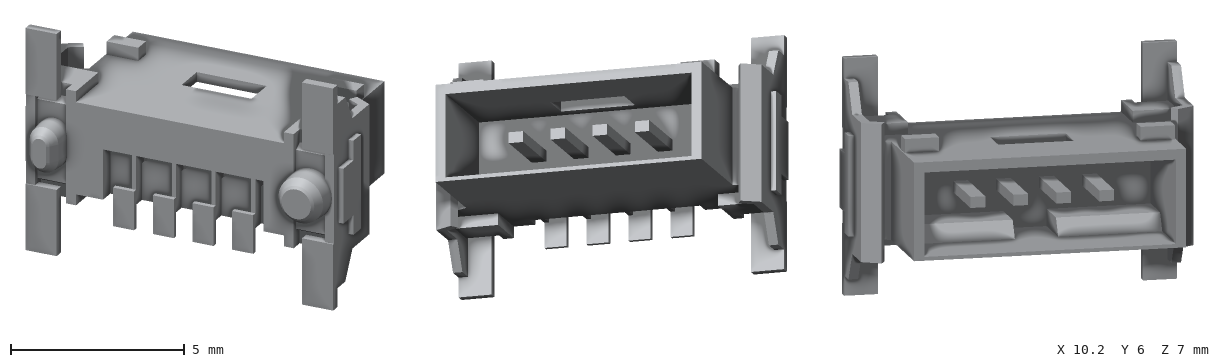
import cadquery as cq
import math


body_depth = 5.2
body_height = 2.91
mouth_width = 8.05
shoulder_width = 9.27
shoulder_start = 1.98
shoulder_end = 2.31

roof_thickness = 0.3
side_wall = 0.3
floor_thickness = 0.11
cavity_back = 2.03
window_width = 2.24
window_front = 2.42
window_back = 3.42
ledge_inner_x = 0.64
ledge_back = 3.21
ledge_height = 0.51
ledge_slope = 61

tab_size = (1.02, 0.51, 0.42)
tab_outer_x = 3.99
tab_front = 3.4

flange_inner_x = 3.32
flange_depth = 1.47
flange_height = 3.6
notch_inner_x = 3.64
notch_depth = 0.4
pad_front = 0.15
pad_height = 2.49
pad_root_height = 2.76

peg_x = 4.1
peg_length = 0.8
peg_height = 1.5
slot_peg_width = 1.0
peg_draft_start = 0.05
peg_taper_start = 0.5
peg_tip_start = 0.74
peg_draft = 0.04
peg_taper = 0.16
peg_tip_chamfer = 0.08

clip_thickness = 0.28
clip_height = 4.1
clip_total_height = 7.0
clip_step_height = 5.81
clip_step_end = 0.76
clip_slope_end = 1.24
clip_bend = 2.35
lead_face = -0.04
clip_foot_width = 1.0
clip_foot_gap = 2.82
lip_length = 0.62
lip_angle = 30

key_outer_x = 5.08
key_bar_height = 2.97
key_stem_height = 1.73
key_step = 0.97
key_stem_front = 0.3

contact_count = 4
contact_pitch = 1.27
pin_width = 0.44
pin_height = 0.33
pin_top = 0.13
pin_end = 4.22
lead_offset = 0.12
lead_width = 0.67
lead_thickness = 0.15
lead_top = -0.99
lead_bottom = -2.2
blade_thickness = 0.13
blade_front = 0.1
recess_left = -2.46
recess_right = 2.67
recess_depth = 0.48
relief_width = 0.17
relief_angle = 38.5
relief_height = 0.43
relief_short_height = 0.31

half_height = body_height / 2
half_mouth = mouth_width / 2
clip_inner_x = shoulder_width / 2
clip_outer_x = clip_inner_x + clip_thickness
pin_centres = [(i - (contact_count - 1) / 2) * contact_pitch for i in range(contact_count)]


def box(x0, x1, y0, y1, z0, z1):
    """Box given by its limits along each axis."""
    return cq.Workplane("XY").box(x1 - x0, y1 - y0, z1 - z0, centered=False).translate((x0, y0, z0))


def level_box(x0, x1, y0, y1, height):
    """Box centred on Z = 0."""
    return box(x0, x1, y0, y1, -height / 2, height / 2)


def side_prism(points, x0, x1):
    """Prism along X from an outline of (Y, Z) points."""
    return cq.Workplane("YZ").polyline(points).close().extrude(x1 - x0).translate((x0, 0, 0))


def mirrored_outline(upper_points):
    """Outline closed by repeating the upper points below Z = 0."""
    return upper_points + [(y, -z) for y, z in reversed(upper_points)]


def both_ends(shape):
    """The shape at the +X end together with its mirror image at the -X end."""
    return shape.union(shape.mirror("YZ"))


def housing():
    right_side = [
        (clip_inner_x, 0),
        (clip_inner_x, shoulder_start),
        (half_mouth, shoulder_end),
        (half_mouth, body_depth),
    ]
    left_side = [(-x, y) for x, y in reversed(right_side)]
    body = cq.Workplane("XY").polyline(right_side + left_side).close().extrude(body_height)
    return body.translate((0, 0, -half_height))


def cavity():
    half_width = half_mouth - side_wall
    floor = -half_height + floor_thickness
    roof = half_height - roof_thickness
    opening = box(-half_width, half_width, cavity_back, body_depth, floor, roof)
    ledge_foot = ledge_back + ledge_height / math.tan(math.radians(ledge_slope))
    ledge_outline = [
        (cavity_back, floor),
        (ledge_foot, floor),
        (ledge_back, floor + ledge_height),
        (cavity_back, floor + ledge_height),
    ]
    opening = opening.cut(both_ends(side_prism(ledge_outline, ledge_inner_x, half_width)))
    window = box(-window_width / 2, window_width / 2, window_front, window_back, 0, half_height)
    return opening.union(window)


def roof_tab():
    length, depth, height = tab_size
    return box(
        tab_outer_x - length, tab_outer_x,
        tab_front, tab_front + depth,
        half_height, half_height + height,
    )


def flange():
    return level_box(flange_inner_x, clip_inner_x, 0, flange_depth, flange_height)


def flange_notch():
    """Recess in the flange front, leaving a slope-sided pad as the seat of the peg."""
    notch = level_box(notch_inner_x, clip_inner_x, 0, notch_depth, flange_height)
    pad_outline = mirrored_outline([(pad_front, pad_height / 2), (notch_depth, pad_root_height / 2)])
    return notch.cut(side_prism(pad_outline, notch_inner_x, clip_inner_x))


def clip():
    """Solder clip at the +X end: side plate, two feet and an inward-bent lip."""
    plate = side_prism(
        mirrored_outline([
            (0, clip_step_height / 2),
            (clip_step_end, clip_step_height / 2),
            (clip_slope_end, clip_height / 2),
            (shoulder_start, clip_height / 2),
        ]),
        clip_inner_x,
        clip_outer_x,
    )
    foot_back = lead_face + clip_thickness
    foot_inner_x = clip_outer_x - clip_foot_width
    feet = level_box(foot_inner_x, clip_outer_x, lead_face, foot_back, clip_total_height)
    feet = feet.cut(level_box(foot_inner_x, clip_outer_x, lead_face, foot_back, clip_foot_gap))

    angle = math.radians(lip_angle)
    tip_x = clip_outer_x - lip_length * math.cos(angle)
    tip_y = clip_bend + lip_length * math.sin(angle)
    inner_bend = clip_bend - clip_thickness * math.tan((math.pi / 2 - angle) / 2)
    lip_outline = [
        (clip_outer_x, shoulder_start),
        (clip_outer_x, clip_bend),
        (tip_x, tip_y),
        (tip_x - clip_thickness * math.sin(angle), tip_y - clip_thickness * math.cos(angle)),
        (clip_inner_x, inner_bend),
        (clip_inner_x, shoulder_start),
    ]
    lip = cq.Workplane("XY").polyline(lip_outline).close().extrude(clip_height)
    return plate.union(feet).union(lip.translate((0, 0, -clip_height / 2)))


def key():
    bar = level_box(clip_inner_x, key_outer_x, key_step, flange_depth, key_bar_height)
    return bar.union(level_box(clip_inner_x, key_outer_x, key_stem_front, key_step, key_stem_height))


def peg_outline(x, width):
    """Peg base at pad depth, facing -Y: round at full width, otherwise a slot upright along Z."""
    plane = cq.Workplane("XZ", origin=(x, pad_front, 0))
    if width < peg_height:
        return plane.slot2D(peg_height, width, 90)
    return plane.circle(peg_height / 2)


def peg(x, width):
    """Straight base, drafted shank, steeper lead-in and chamfered tip, stacked along -Y."""
    stages = [
        (peg_draft, peg_taper_start - peg_draft_start),
        (peg_taper, peg_tip_start - peg_taper_start),
        (peg_tip_chamfer, peg_length - peg_tip_start),
    ]
    stage = peg_outline(x, width).extrude(pad_front + peg_draft_start)
    shape = stage
    for inset, length in stages:
        end_wire = stage.faces("<Y").wires().toPending()
        taper_angle = math.degrees(math.atan(inset / length))
        stage = end_wire.extrude(length, taper=taper_angle, combine=False)
        shape = shape.union(stage)
    return shape


def contact_recess():
    return box(recess_left, recess_right, 0, recess_depth, -half_height, pin_top)


def contact_relief(x):
    """Slanted pocket in the recess wall, starting at x beside a contact blade."""
    depth = relief_width * math.tan(math.radians(relief_angle))
    wedge = (
        cq.Workplane("XY")
        .polyline([(x, recess_depth), (x + relief_width, recess_depth), (x, recess_depth + depth)])
        .close()
        .extrude(relief_height)
        .translate((0, 0, pin_top - relief_height))
    )
    profile = (
        cq.Workplane("XZ", origin=(0, recess_depth + depth, 0))
        .polyline([
            (x, pin_top),
            (x + relief_width, pin_top),
            (x + relief_width, pin_top - relief_short_height),
            (x, pin_top - relief_height),
        ])
        .close()
        .extrude(depth)
    )
    return wedge.intersect(profile)


def blade_right(pin_x):
    return pin_x + lead_offset + lead_width / 2


def contact(pin_x):
    """Mating pin, upright blade in the front recess and flat solder lead."""
    right = blade_right(pin_x)
    pin = box(
        pin_x - pin_width / 2, pin_x + pin_width / 2,
        cavity_back, pin_end,
        pin_top - pin_height, pin_top,
    )
    blade = box(right - blade_thickness, right, blade_front, recess_depth, -half_height, pin_top)
    lead = box(
        right - lead_width, right,
        lead_face, lead_face + lead_thickness,
        lead_bottom, lead_top,
    )
    return pin.union(blade).union(lead)


result = housing().union(both_ends(flange()))
result = result.cut(cavity()).cut(both_ends(flange_notch())).cut(contact_recess())
for pin_x in pin_centres:
    result = result.cut(contact_relief(blade_right(pin_x)))
for pin_x in pin_centres:
    result = result.union(contact(pin_x))
for end_part in (roof_tab(), clip(), key()):
    result = result.union(both_ends(end_part))
result = result.union(peg(peg_x, peg_height)).union(peg(-peg_x, slot_peg_width))